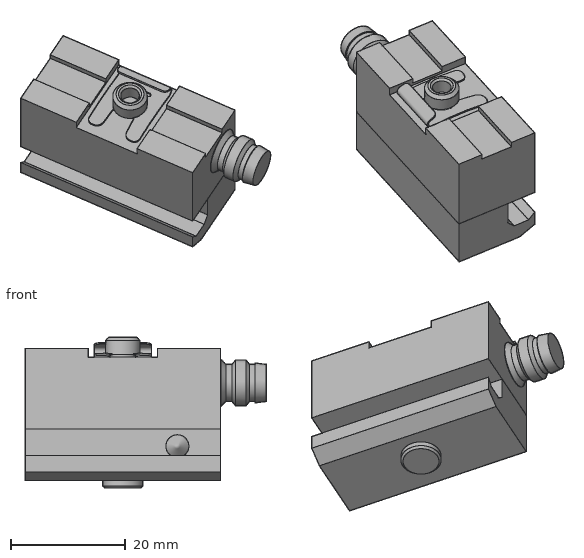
import cadquery as cq
import math

OVERALL_LENGTH = 42.0
LENGTH = 34.0
WIDTH = 15.5
HOUSING_TOP = 23.0
SPLIT_HEIGHT = 9.0

LONG_SLOT_WIDTH = 6.0
LONG_SLOT_DEPTH = 1.0
CROSS_SLOT_WIDTH = 12.0
CROSS_SLOT_DEPTH = 1.5
CLIP_FLOOR = HOUSING_TOP - CROSS_SLOT_DEPTH

JAW_OPENING_DEPTH = 5.45
JAW_FLOOR_HEIGHT = 3.15
JAW_CHAMFER = 1.25
HOOK_CHAMFER_DEPTH = 3.1
HOOK_CHAMFER_HEIGHT = 1.5
CLAMP_EDGE_RADIUS = 0.2

SCREW_X = LENGTH / 2
SCREW_Y = 8.53
HEAD_DIAMETER = 6.0
HEAD_TOP_DIAMETER = 4.85
HEAD_RISE = 1.97
HEAD_CLEARANCE = 0.45
SHANK_DIAMETER = 4.5
FOOT_DIAMETER = 7.0
FOOT_HEIGHT = 1.3
FOOT_CHAMFER = 0.38
SOCKET_DIAMETER = 3.25
SOCKET_RIM_DIAMETER = 4.0
SOCKET_DEPTH = 3.0

PIN_X = 26.5
PIN_Z = 6.0
PIN_DIAMETER = 4.0
PIN_PROJECTION = PIN_DIAMETER / 2
PIN_LENGTH = 6.0

CONNECTOR_Y = 10.55
CONNECTOR_Z = HOUSING_TOP - 6.0
CONNECTOR_LENGTH = OVERALL_LENGTH - LENGTH
FLARE_DIAMETER = 8.2
FLARE_RIM = 0.1
NECK_DIAMETER = 6.5
RING_DIAMETER = 8.0
RING_START = 1.97
RING_END = 5.05
RING_BEVEL_LENGTH = 0.65
PLUG_START = 6.0
PLUG_DIAMETER = 7.0

CLIP_WIDTH = 10.0
CLIP_THICKNESS = 0.3
CLIP_FRONT = 1.85
CLIP_BACK = 14.57
BEND_RADIUS = 1.0
BOW_RISE = 0.38
LIP_ANGLE = 22.0
LIP_LENGTH = 1.5
LIP_CORNER_RADIUS = 1.0
FINGER_OUTER_RADIUS = 1.0
FINGER_INNER_RADIUS = 1.35
FINGER_GAP_FRONT = 2.35
FINGER_GAP_BACK = 2.05
FINGER_GAP_END = -2.35
NOTCH_HALF_WIDTH = 2.2
NOTCH_SIDE_START = 3.28
NOTCH_END = 3.85
NOTCH_CORNER_RADIUS = 0.4


def screw_cylinder(diameter, bottom, top):
    """Cylinder on the screw axis between two heights."""
    return (
        cq.Workplane("XY", origin=(SCREW_X, SCREW_Y, bottom))
        .circle(diameter / 2)
        .extrude(top - bottom)
    )


def make_housing():
    block = cq.Workplane("XY").box(LENGTH, WIDTH, HOUSING_TOP - SPLIT_HEIGHT, centered=False)
    block = block.translate((0, 0, SPLIT_HEIGHT))
    middle_top = cq.Workplane("XY", origin=(LENGTH / 2, WIDTH / 2, HOUSING_TOP))
    long_slot = middle_top.rect(LENGTH, LONG_SLOT_WIDTH).extrude(-LONG_SLOT_DEPTH)
    cross_slot = middle_top.rect(CROSS_SLOT_WIDTH, WIDTH).extrude(-CROSS_SLOT_DEPTH)
    shank_hole = screw_cylinder(SHANK_DIAMETER, SPLIT_HEIGHT, HOUSING_TOP)
    return block.cut(long_slot).cut(cross_slot).cut(shank_hole)


def make_pin():
    radius = PIN_DIAMETER / 2
    tip_y = JAW_OPENING_DEPTH - PIN_PROJECTION
    section = (
        cq.Workplane("XY", origin=(PIN_X, 0, PIN_Z))
        .moveTo(0, tip_y)
        .lineTo(radius, tip_y + radius)
        .lineTo(radius, tip_y + PIN_LENGTH)
        .lineTo(0, tip_y + PIN_LENGTH)
        .close()
    )
    return section.revolve(360, (0, 0), (0, 1))


def make_clamp_body(pin):
    wall = JAW_OPENING_DEPTH
    jaw_corner = JAW_FLOOR_HEIGHT + JAW_CHAMFER
    body = (
        cq.Workplane("YZ")
        .moveTo(HOOK_CHAMFER_DEPTH, 0)
        .lineTo(WIDTH, 0)
        .lineTo(WIDTH, SPLIT_HEIGHT)
        .lineTo(wall, SPLIT_HEIGHT)
        .lineTo(wall, jaw_corner)
        .lineTo(wall - JAW_CHAMFER, JAW_FLOOR_HEIGHT)
        .lineTo(JAW_CHAMFER, JAW_FLOOR_HEIGHT)
        .lineTo(0, jaw_corner)
        .lineTo(0, HOOK_CHAMFER_HEIGHT)
        .close()
        .extrude(LENGTH)
    )
    body = body.edges("|X").edges(">Z or >Y").fillet(CLAMP_EDGE_RADIUS)
    return body.cut(screw_cylinder(SHANK_DIAMETER, 0, SPLIT_HEIGHT)).cut(pin)


def make_screw():
    foot = FOOT_DIAMETER / 2
    shank = SHANK_DIAMETER / 2
    head = HEAD_DIAMETER / 2
    head_rim = HEAD_TOP_DIAMETER / 2
    socket = SOCKET_DIAMETER / 2
    socket_rim = SOCKET_RIM_DIAMETER / 2
    head_bottom = CLIP_FLOOR + HEAD_CLEARANCE
    head_top = HOUSING_TOP + HEAD_RISE
    section = (
        cq.Workplane("XZ", origin=(SCREW_X, SCREW_Y, 0))
        .moveTo(0, -FOOT_HEIGHT)
        .lineTo(foot - FOOT_CHAMFER, -FOOT_HEIGHT)
        .lineTo(foot, FOOT_CHAMFER - FOOT_HEIGHT)
        .lineTo(foot, 0)
        .lineTo(shank, 0)
        .lineTo(shank, head_bottom)
        .lineTo(head, head_bottom)
        .lineTo(head, head_top - (head - head_rim))
        .lineTo(head_rim, head_top)
        .lineTo(socket_rim, head_top)
        .lineTo(socket, head_top - (socket_rim - socket))
        .lineTo(socket, head_top - SOCKET_DEPTH)
        .lineTo(0, head_top - SOCKET_DEPTH)
        .close()
    )
    return section.revolve(360, (0, 0), (0, 1))


def make_connector():
    flare = FLARE_DIAMETER / 2
    neck = NECK_DIAMETER / 2
    ring = RING_DIAMETER / 2
    plug = PLUG_DIAMETER / 2
    section = (
        cq.Workplane("XY", origin=(LENGTH, CONNECTOR_Y, CONNECTOR_Z))
        .lineTo(0, flare)
        .lineTo(FLARE_RIM, flare)
        .lineTo(FLARE_RIM + flare - neck, neck)
        .lineTo(RING_START, neck)
        .lineTo(RING_START + RING_BEVEL_LENGTH, ring)
        .lineTo(RING_END - RING_BEVEL_LENGTH, ring)
        .lineTo(RING_END, neck)
        .lineTo(PLUG_START, neck)
        .lineTo(PLUG_START, plug)
        .lineTo(CONNECTOR_LENGTH, neck)
        .lineTo(CONNECTOR_LENGTH, 0)
        .close()
    )
    return section.revolve(360, (0, 0), (1, 0))


def roll_point(angle, radius):
    """Point (Y, Z) at an angle from +Y on a circle about the axis of the clip's roll."""
    return (
        CLIP_BACK - BEND_RADIUS + radius * math.cos(angle),
        CLIP_FLOOR + BEND_RADIUS + radius * math.sin(angle),
    )


def make_clip_strip():
    """Bowed strip, roll and lip as one bent sheet over the full clip width."""
    inside_radius = BEND_RADIUS - CLIP_THICKNESS
    lip_slope = math.radians(LIP_ANGLE)
    lip_reach = LIP_LENGTH * math.cos(lip_slope)
    lip_rise = LIP_LENGTH * math.sin(lip_slope)

    half_span = (CLIP_BACK - BEND_RADIUS - CLIP_FRONT) / 2
    bow_end_slope = 2 * math.atan(BOW_RISE / half_span)
    start_angle = -math.pi / 2 - bow_end_slope
    end_angle = math.pi / 2 - lip_slope
    middle_angle = (start_angle + end_angle) / 2
    outer_start = roll_point(start_angle, BEND_RADIUS)
    inner_start = roll_point(start_angle, inside_radius)
    outer_end_y, outer_end_z = roll_point(end_angle, BEND_RADIUS)
    inner_end_y, inner_end_z = roll_point(end_angle, inside_radius)

    bow_middle = (outer_start[0] + CLIP_FRONT) / 2
    bow_underside = CLIP_FLOOR + BOW_RISE
    lip_tip_y = outer_end_y - lip_reach
    sheet = (
        cq.Workplane("YZ", origin=(SCREW_X, 0, 0))
        .moveTo(CLIP_FRONT, CLIP_FLOOR)
        .threePointArc((bow_middle, bow_underside), outer_start)
        .threePointArc(roll_point(middle_angle, BEND_RADIUS), (outer_end_y, outer_end_z))
        .lineTo(lip_tip_y, outer_end_z + lip_rise)
        .lineTo(inner_end_y - lip_reach, inner_end_z + lip_rise)
        .lineTo(inner_end_y, inner_end_z)
        .threePointArc(roll_point(middle_angle, inside_radius), inner_start)
        .threePointArc(
            (bow_middle, bow_underside + CLIP_THICKNESS),
            (CLIP_FRONT, CLIP_FLOOR + CLIP_THICKNESS),
        )
        .close()
        .extrude(CLIP_WIDTH / 2, both=True)
    )
    lip_tip_region = cq.selectors.BoxSelector(
        (0, lip_tip_y - CLIP_THICKNESS, HOUSING_TOP),
        (LENGTH, lip_tip_y + CLIP_THICKNESS, HOUSING_TOP + HEAD_RISE),
    )
    return sheet.edges(lip_tip_region).edges("not |X").fillet(LIP_CORNER_RADIUS)


def make_clip():
    front = CLIP_FRONT - SCREW_Y
    cut_height = BOW_RISE + 2 * CLIP_THICKNESS
    floor_plane = cq.Workplane("XY", origin=(SCREW_X, SCREW_Y, CLIP_FLOOR))
    finger_gap = (
        floor_plane
        .polyline([
            (-FINGER_GAP_FRONT, front),
            (FINGER_GAP_FRONT, front),
            (FINGER_GAP_BACK, FINGER_GAP_END),
            (-FINGER_GAP_BACK, FINGER_GAP_END),
        ])
        .close()
        .extrude(cut_height)
    )
    notch = (
        floor_plane
        .polyline([
            (0, NOTCH_SIDE_START - NOTCH_HALF_WIDTH),
            (NOTCH_HALF_WIDTH, NOTCH_SIDE_START),
            (NOTCH_HALF_WIDTH, NOTCH_END),
            (-NOTCH_HALF_WIDTH, NOTCH_END),
            (-NOTCH_HALF_WIDTH, NOTCH_SIDE_START),
        ])
        .close()
        .extrude(cut_height)
        .edges("|Z and >Y")
        .fillet(NOTCH_CORNER_RADIUS)
    )
    head_hole = screw_cylinder(HEAD_DIAMETER, CLIP_FLOOR, HOUSING_TOP)
    clip = make_clip_strip().cut(finger_gap).cut(notch).cut(head_hole)

    gap_side_limit = CLIP_WIDTH / 2 - CLIP_THICKNESS
    gap_side_region = cq.selectors.BoxSelector(
        (SCREW_X - gap_side_limit, 0, CLIP_FLOOR),
        (SCREW_X + gap_side_limit, SCREW_Y, HOUSING_TOP),
    )
    gap_corners = clip.faces("<Y").edges("not |X").edges(gap_side_region)
    clip = gap_corners.fillet(FINGER_INNER_RADIUS)
    return clip.edges("<X or >X").edges("<Y").fillet(FINGER_OUTER_RADIUS)


housing = make_housing()
pin = make_pin()
clamp_body = make_clamp_body(pin)
screw = make_screw()
connector = make_connector()
clip = make_clip()

result = cq.Compound.makeCompound([
    housing.val(),
    clamp_body.val(),
    screw.val(),
    pin.val(),
    connector.val(),
    clip.val(),
])